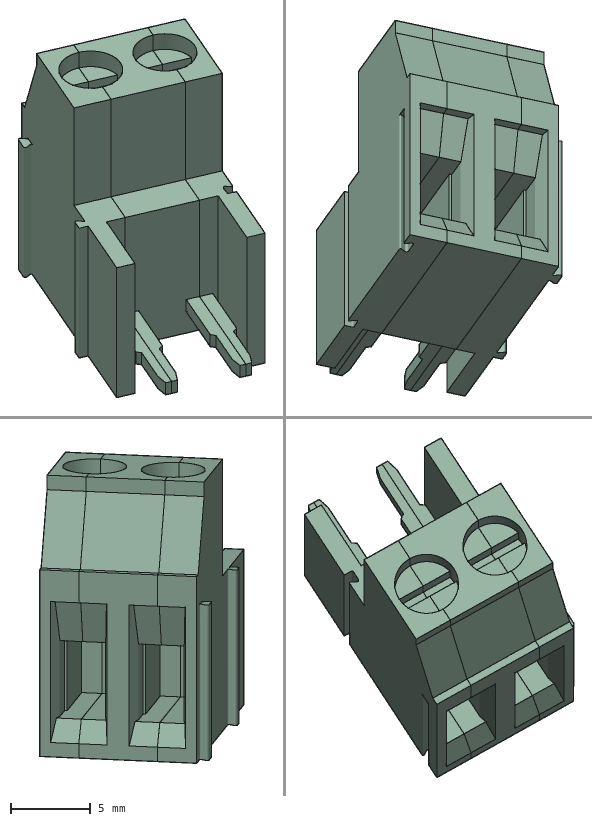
import cadquery as cq
import math


pole_count = 2
pole_pitch = 5.0
block_width = pole_count * pole_pitch
block_height = 17.5
base_height = 10.0
tower_back = 8.8
rear_face = 11.2
wall_end = 16.0
wall_thickness = 1.24
front_face_height = 12.0
front_ledge = 0.5
slope_back = 2.5
slope_top = 16.57

screw_x = 5.38
screw_radius = 2.0
recess_depth = 1.2
slot_width = 0.8
slot_depth = 1.0

mouth_width = 3.6
mouth_bottom = 0.93
mouth_top = base_height
ramp_start = 0.84
roof_ramp_start = 0.6
throat_start = 1.35
throat_width = 2.9
throat_floor = 2.32
throat_roof = 7.18
chamber_start = 2.93
chamber_end = 2 * screw_x - chamber_start
chamber_width = 2.58
cove_width = 2.4
cove_radius = 0.2

pin_end = 19.0
pin_bottom = 1.65
pin_thickness = 0.93
pin_width = 1.79
shoulder_start = 15.24
shoulder_end = 15.45
blade_width = 1.2
tip_width = 0.8
tip_length = 0.8

dovetail_x = 1.39
dovetail_depth = 0.6
front_half_neck = 0.32
rear_half_neck = 0.59
dovetail_flare = 0.2
root_radius = 0.08
tip_radius = 0.13
rear_corner_radius = 0.08

half_width = block_width / 2
pole_positions = [(i - (pole_count - 1) / 2) * pole_pitch for i in range(pole_count)]


def box(x0, x1, y0, y1, z0, z1):
    """Box given by its limits along each axis."""
    return cq.Workplane("XY").box(x1 - x0, y1 - y0, z1 - z0, centered=False).translate((x0, y0, z0))


def side_extrusion(points, y_centre, width):
    """XZ outline extruded along Y, centred on y_centre."""
    outline = cq.Workplane("XZ", origin=(0, y_centre, 0)).polyline(points).close()
    return outline.extrude(width / 2, both=True)


def plan_extrusion(points, bottom, height):
    """XY outline extruded upward from the given height."""
    return cq.Workplane("XY", origin=(0, 0, bottom)).polyline(points).close().extrude(height)


def housing_shell():
    """Stepped block with a sloped front and two side walls behind it."""
    profile = [
        (0, 0),
        (rear_face, 0),
        (rear_face, base_height),
        (tower_back, base_height),
        (tower_back, block_height),
        (slope_back, block_height),
        (slope_back, slope_top),
        (front_ledge, front_face_height),
        (0, front_face_height),
    ]
    inner = half_width - wall_thickness
    near_wall = box(rear_face, wall_end, -half_width, -inner, 0, base_height)
    far_wall = box(rear_face, wall_end, inner, half_width, 0, base_height)
    return side_extrusion(profile, 0, block_width).union(near_wall).union(far_wall)


def screw_recess(y):
    """Round recess down to the screw head, with the driver slot below it."""
    head_top = block_height - recess_depth
    recess = cq.Workplane("XY", origin=(screw_x, y, head_top)).circle(screw_radius).extrude(recess_depth)
    slot_bar = cq.Workplane("XY", origin=(screw_x, y, head_top)).rect(slot_width, 2 * screw_radius)
    slot_limit = cq.Workplane("XY", origin=(screw_x, y, head_top)).circle(screw_radius)
    slot = slot_bar.extrude(-slot_depth).intersect(slot_limit.extrude(-slot_depth))
    return recess.union(slot)


def wire_entry(y):
    """Funnel with tapered sides and ramps, opening into a chamber with a roof cove."""
    profile = [
        (0, mouth_bottom),
        (ramp_start, throat_floor),
        (chamber_start, throat_floor),
        (chamber_start, throat_roof),
        (throat_start, throat_roof),
        (roof_ramp_start, mouth_top),
        (0, mouth_top),
    ]
    plan = [
        (0, y - mouth_width / 2),
        (throat_start, y - throat_width / 2),
        (chamber_start, y - throat_width / 2),
        (chamber_start, y + throat_width / 2),
        (throat_start, y + throat_width / 2),
        (0, y + mouth_width / 2),
    ]
    funnel = side_extrusion(profile, y, mouth_width).intersect(plan_extrusion(plan, 0, block_height))
    chamber = box(
        chamber_start, chamber_end,
        y - chamber_width / 2, y + chamber_width / 2,
        throat_floor, throat_roof,
    )
    cove_block = box(
        chamber_end - cove_radius, chamber_end,
        y - cove_width / 2, y + cove_width / 2,
        throat_roof - cove_radius, throat_roof,
    )
    cove_axis = cq.Workplane("XZ", origin=(chamber_end - cove_radius, y, throat_roof - cove_radius))
    cove_hollow = cove_axis.circle(cove_radius).extrude(cove_width, both=True)
    return funnel.union(chamber.cut(cove_block.cut(cove_hollow)))


def pin(y):
    """Flat contact pin with a shouldered blade and a tapered tip."""
    half_outline = [
        (rear_face, pin_width / 2),
        (shoulder_start, pin_width / 2),
        (shoulder_end, blade_width / 2),
        (pin_end - tip_length, blade_width / 2),
        (pin_end, tip_width / 2),
    ]
    upper = [(x, y + offset) for x, offset in half_outline]
    lower = [(x, y - offset) for x, offset in reversed(half_outline)]
    return plan_extrusion(upper + lower, pin_bottom, pin_thickness)


def half_dovetail(x_plain, half_neck, y_root):
    """Half dovetail pointing toward -Y, its flank on the -X side and a plain face at x_plain.

    The flank is a straight line tangent to a rounded root and a rounded tip.
    """
    neck_x = x_plain - half_neck
    tip_y = y_root - dovetail_depth
    root_centre = (neck_x - root_radius, y_root - root_radius)
    tip_centre = (neck_x - dovetail_flare + tip_radius, tip_y + tip_radius)

    across = root_centre[0] - tip_centre[0]
    along = root_centre[1] - tip_centre[1]
    spread = math.asin((root_radius + tip_radius) / math.hypot(across, along))
    flank_angle = math.atan2(across, along) + spread

    def on_root(angle):
        return (
            root_centre[0] + root_radius * math.cos(angle),
            root_centre[1] + root_radius * math.sin(angle),
        )

    def on_tip(angle):
        return (
            tip_centre[0] - tip_radius * math.cos(angle),
            tip_centre[1] - tip_radius * math.sin(angle),
        )

    quarter_turn = math.pi / 2
    arc_middle = (quarter_turn - flank_angle) / 2
    outline = (
        cq.Workplane("XY")
        .moveTo(x_plain, y_root)
        .lineTo(*on_root(quarter_turn))
        .threePointArc(on_root(arc_middle), on_root(-flank_angle))
        .lineTo(*on_tip(-flank_angle))
        .threePointArc(on_tip(arc_middle), on_tip(quarter_turn))
        .lineTo(x_plain, tip_y)
        .close()
    )
    return outline.extrude(base_height)


def dovetails(y_root):
    """Symmetric front dovetail and one-sided rear dovetail, rooted at y_root."""
    front_half = half_dovetail(dovetail_x, front_half_neck, y_root)
    front = front_half.union(front_half.mirror("YZ", (dovetail_x, 0, 0)))
    rear = half_dovetail(rear_face, rear_half_neck, y_root)
    rear = rear.faces(">X").edges("<Y").fillet(rear_corner_radius)
    return front.union(rear)


def connector():
    """Complete terminal block before it is parted into sections."""
    block = housing_shell().union(dovetails(-half_width)).cut(dovetails(half_width))
    for y in pole_positions:
        block = block.cut(screw_recess(y)).cut(wire_entry(y)).union(pin(y))
    return block


def section(block, y0, y1):
    """Slice of the terminal block between two planes across Y."""
    return block.intersect(box(0, pin_end, y0, y1, 0, block_height))


terminal_block = connector()
near_end = section(terminal_block, -half_width - dovetail_depth, pole_positions[0])
middles = [section(terminal_block, a, b) for a, b in zip(pole_positions, pole_positions[1:])]
far_end = section(terminal_block, pole_positions[-1], half_width)

result = cq.Compound.makeCompound([near_end.val(), *[middle.val() for middle in middles], far_end.val()])